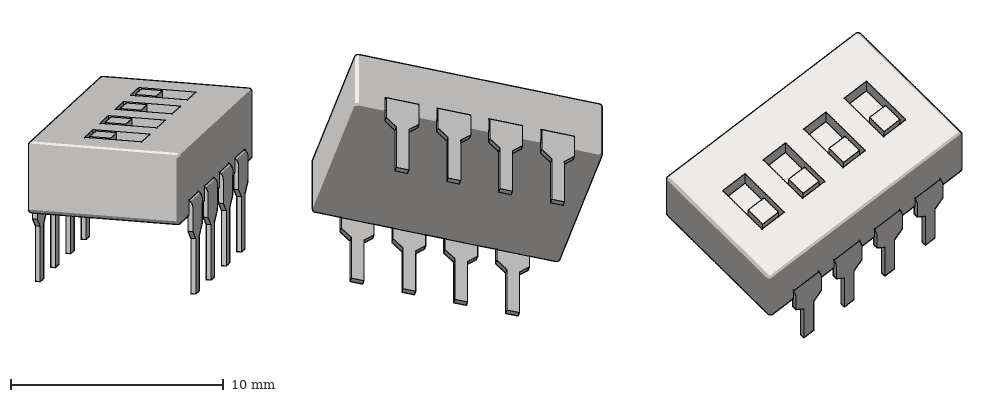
import cadquery as cq


SWITCH_COUNT = 4
SWITCH_PITCH = 2.54

HOUSING_WIDTH = 7.5
HOUSING_LENGTH = 12.14
HOUSING_HEIGHT = 3.5
HOUSING_FILLET = 0.2

SLOT_WIDTH = 2.79
SLOT_LENGTH = 1.4
SLOT_DEPTH = 0.9

KNOB_WIDTH = 1.03
KNOB_LENGTH = 1.0
KNOB_END_GAP = 0.18
PLATE_THICKNESS = 0.1
PLATE_MARGIN = 0.1

PIN_SPAN = 7.87
PIN_THICKNESS = 0.24
PIN_BEND_RADIUS = 0.45
PIN_BEND_CENTER_Z = 0.5
PIN_WIDE = 1.6
PIN_NARROW = 0.62
PIN_TAPER_TOP_Z = -0.65
PIN_TAPER_BOTTOM_Z = -1.14
PIN_TIP_Z = -3.85

SWITCH_ROW_LENGTH = (SWITCH_COUNT - 1) * SWITCH_PITCH
SWITCH_YS = [i * SWITCH_PITCH - SWITCH_ROW_LENGTH / 2 for i in range(SWITCH_COUNT)]
SLOT_FLOOR_Z = HOUSING_HEIGHT - SLOT_DEPTH
KNOB_X = -SLOT_WIDTH / 2 + KNOB_END_GAP + KNOB_WIDTH / 2
PIN_TOP_Z = PIN_BEND_CENTER_Z + PIN_BEND_RADIUS


def block(width, length, bottom_z, top_z, x=0, y=0):
    """Upright box centred on (x, y) between two heights."""
    box = cq.Workplane("XY").box(width, length, top_z - bottom_z, centered=(True, True, False))
    return box.translate((x, y, bottom_z))


def make_pin(side, y):
    """Flat pin bent a quarter turn into the housing; side is -1 or +1 along X."""
    outer_x = PIN_SPAN / 2
    inner_x = outer_x - PIN_THICKNESS
    bend_x = outer_x - PIN_BEND_RADIUS
    inner_radius = PIN_BEND_RADIUS - PIN_THICKNESS

    strip = (
        cq.Workplane("XZ")
        .moveTo(outer_x, PIN_TIP_Z)
        .lineTo(outer_x, PIN_BEND_CENTER_Z)
        .radiusArc((bend_x, PIN_TOP_Z), -PIN_BEND_RADIUS)
        .lineTo(bend_x, PIN_TOP_Z - PIN_THICKNESS)
        .radiusArc((inner_x, PIN_BEND_CENTER_Z), inner_radius)
        .lineTo(inner_x, PIN_TIP_Z)
        .close()
        .extrude(PIN_WIDE / 2, both=True)
    )

    half_outline = [
        (0, PIN_TOP_Z),
        (PIN_WIDE / 2, PIN_TOP_Z),
        (PIN_WIDE / 2, PIN_TAPER_TOP_Z),
        (PIN_NARROW / 2, PIN_TAPER_BOTTOM_Z),
        (PIN_NARROW / 2, PIN_TIP_Z),
        (0, PIN_TIP_Z),
    ]
    outline = cq.Workplane("YZ").polyline(half_outline).mirrorY().extrude(PIN_SPAN)

    pin = strip.intersect(outline)
    if side < 0:
        pin = pin.mirror("YZ")
    return pin.translate((0, y, 0))


def make_plate():
    """Thin plate reaching a little past the row of slots on every side."""
    width = SLOT_WIDTH + 2 * PLATE_MARGIN
    length = SWITCH_ROW_LENGTH + SLOT_LENGTH + 2 * PLATE_MARGIN
    return block(width, length, SLOT_FLOOR_Z - PLATE_THICKNESS, SLOT_FLOOR_Z)


def make_slider_bank():
    """Plate and its four knobs, set near the -X end of the slots and flush with the housing top."""
    bank = make_plate()
    for y in SWITCH_YS:
        bank = bank.union(
            block(KNOB_WIDTH, KNOB_LENGTH, SLOT_FLOOR_Z, HOUSING_HEIGHT, KNOB_X, y)
        )
    return bank


def make_housing(pins):
    """Rounded box with slots, a recess for the plate and a seat for each pin."""
    housing = block(HOUSING_WIDTH, HOUSING_LENGTH, 0, HOUSING_HEIGHT)
    housing = housing.edges().fillet(HOUSING_FILLET)
    for y in SWITCH_YS:
        housing = housing.cut(block(SLOT_WIDTH, SLOT_LENGTH, SLOT_FLOOR_Z, HOUSING_HEIGHT, 0, y))
    housing = housing.cut(make_plate())
    for pin in pins:
        housing = housing.cut(pin)
    return housing


pins = [make_pin(side, y) for side in (-1, 1) for y in SWITCH_YS]
slider_bank = make_slider_bank()
housing = make_housing(pins)

bodies = [housing, slider_bank, *pins]
result = cq.Compound.makeCompound([body.solids().val() for body in bodies])